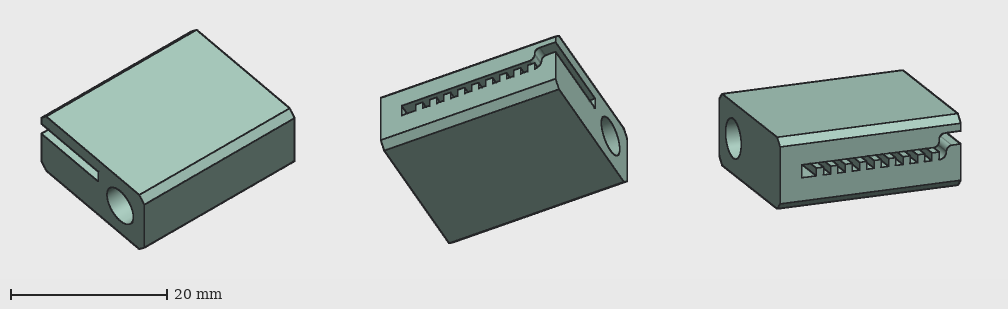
import cadquery as cq
import math

WIDTH = 20.7
LENGTH = 25.0
HEIGHT = 9.7
CHAMFER = 1.0

HOLE_DIAMETER = 5.3
HOLE_X = 15.85

SLOT_DEPTH = 11.4
SLOT_HEIGHT = 1.75
SLOT_FLOOR = 4.15
SLOT_ROOF = SLOT_FLOOR + SLOT_HEIGHT
SLOT_END = 22.0

ENTRY_ROOF = SLOT_ROOF + SLOT_HEIGHT
ROOF_STEP = 3.0
FLOOR_STEP = 2.0
BEND_RADIUS = 0.75
FLOOR_BEND_RADIUS = SLOT_HEIGHT - BEND_RADIUS

TOOTH_COUNT = 9
TOOTH_WIDTH = 1.0
TOOTH_PITCH = 2 * TOOTH_WIDTH
TOOTH_HEIGHT = 1.05
FIRST_TOOTH = 3.0

ARC_MIDDLE = math.sqrt(0.5)


def make_block():
    block = cq.Workplane("XY").box(WIDTH, LENGTH, HEIGHT, centered=False)
    return block.edges("|Y").chamfer(CHAMFER)


def make_hole():
    plane = cq.Workplane("XZ").center(HOLE_X, HEIGHT / 2)
    return plane.circle(HOLE_DIAMETER / 2).extrude(-LENGTH)


def quarter_arc(profile, center_y, center_z, radius, side_y, side_z, end):
    """Add a quarter arc bulging from its center towards the given signs."""
    middle = (
        center_y + side_y * radius * ARC_MIDDLE,
        center_z + side_z * radius * ARC_MIDDLE,
    )
    return profile.threePointArc(middle, end)


def make_slot():
    r = BEND_RADIUS
    floor_r = FLOOR_BEND_RADIUS

    profile = cq.Workplane("YZ").moveTo(0, SLOT_ROOF).lineTo(FLOOR_STEP - r, SLOT_ROOF)
    bend_z = SLOT_ROOF - r
    profile = quarter_arc(profile, FLOOR_STEP - r, bend_z, r, 1, 1, (FLOOR_STEP, bend_z))
    bend_y = FLOOR_STEP + floor_r
    profile = quarter_arc(
        profile, bend_y, SLOT_FLOOR + floor_r, floor_r, -1, -1, (bend_y, SLOT_FLOOR)
    )
    profile = profile.lineTo(SLOT_END, SLOT_FLOOR)

    profile = profile.lineTo(SLOT_END, SLOT_ROOF).lineTo(ROOF_STEP + r, SLOT_ROOF)
    bend_z = SLOT_ROOF + r
    profile = quarter_arc(profile, ROOF_STEP + r, bend_z, r, -1, -1, (ROOF_STEP, bend_z))
    bend_z = ENTRY_ROOF - r
    profile = profile.lineTo(ROOF_STEP, bend_z)
    bend_y = ROOF_STEP - r
    profile = quarter_arc(profile, bend_y, bend_z, r, 1, 1, (bend_y, ENTRY_ROOF))
    return profile.lineTo(0, ENTRY_ROOF).close().extrude(SLOT_DEPTH)


def cut_teeth(slot):
    """Remove the teeth from the slot cutter so that they stay on the block."""
    for i in range(TOOTH_COUNT):
        tooth = cq.Workplane("XY").box(SLOT_DEPTH, TOOTH_WIDTH, TOOTH_HEIGHT, centered=False)
        tooth_y = FIRST_TOOTH + i * TOOTH_PITCH
        slot = slot.cut(tooth.translate((0, tooth_y, SLOT_FLOOR)))
    return slot


result = make_block().cut(make_hole()).cut(cut_teeth(make_slot()))